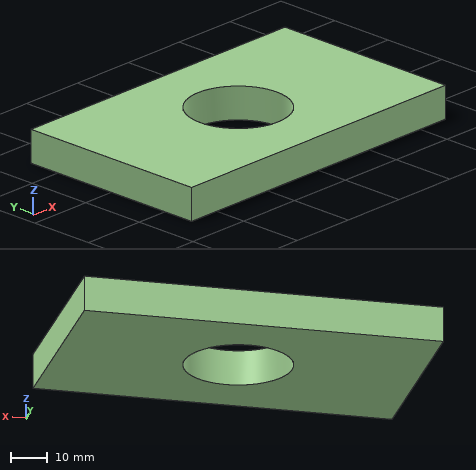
import cadquery as cq

length = 100.0
width = 60.0
thickness = 10.0

hole_diameter = 30.0

plate = cq.Workplane("XY").box(length, width, thickness)
result = plate.faces(">Z").workplane().hole(hole_diameter)